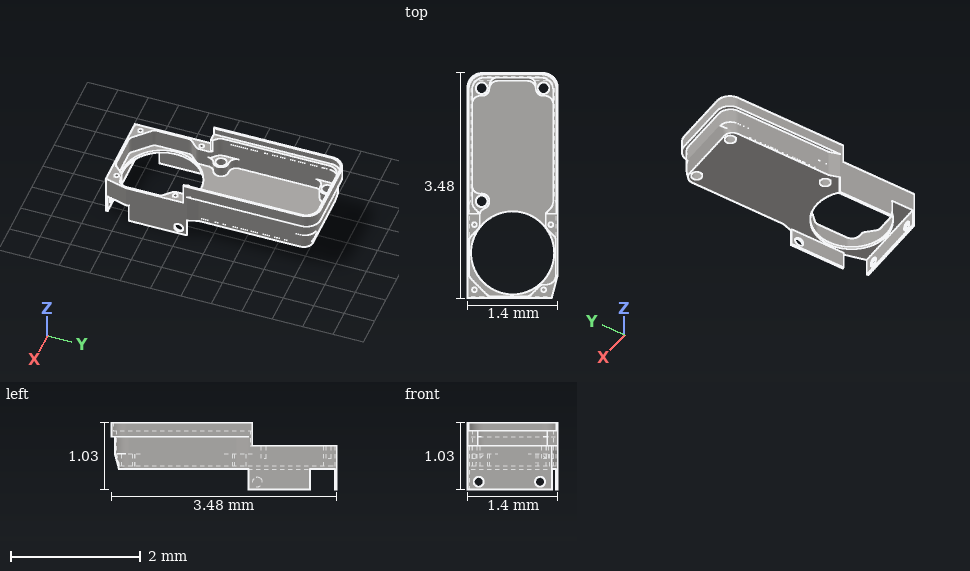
import cadquery as cq
import math

WIDTH = 1.40
LENGTH = 3.48
HEIGHT = 1.035

BASE_Z = 0.315
FLOOR_Z = BASE_Z + 0.05
BOSS_TOP_Z = 0.555
DECK_Z = 0.68
RIM_Z = BASE_Z + 0.50
SHELF_Z = HEIGHT - 0.125

DECK_BACK_Y = 1.305
HOUSING_BACK_Y = 1.365

RIM_RADIUS = 0.235
LIP_WALL = 0.025
LIP_RADIUS = 0.22
TRAY_INSET = 0.055
TRAY_RADIUS = 0.22
FLARE_START_Y = 1.54
FLARE_BLEND_RADIUS = 0.10
CAVITY_INSET = 0.075
CAVITY_RADIUS = 0.185
END_SLOPE = math.tan(math.radians(15))
OUTER_SLOPE_TOP_Z = 0.54
OUTER_SLOPE_RADIUS = 0.15

WALL = 0.03
CHAMFER_X = 0.095
CHAMFER_Y = 0.367
FAN_CENTRE_Y = 0.70
FAN_RADIUS = 0.64
NECK_HALF_WIDTH = 0.51
NECK_BACK_Y = 1.31
STEP_HALF_WIDTH = 0.538
NECK_FRONT_Y = 1.09
NECK_CORNER_RADIUS = 0.03
CAVITY_BLEND_RADIUS = 0.15
HOUSING_BLEND_RADIUS = 0.10
FRONT_LEFT_CUT = 0.297
POST_PAD_Y = 0.21
FRONT_RIGHT_X = 0.26

SKIRT_SLOT_END_Y = 0.41
SKIRT_HOLE_RADIUS = 0.075
SKIRT_HOLE_Z = 0.12
FRONT_HOLE_X = (-0.524, 0.424)
SIDE_HOLE_Y = 1.23

BOSS_X = 0.478
BOSS_REAR_Y = 3.243
BOSS_FRONT_Y = 1.497
BOSS_RADIUS = 0.12
BOSS_HOLE_RADIUS = 0.0875
BOSS_BLEND_RADIUS = 0.12
END_BLEND_RADIUS = 0.12
SCREW_RADIUS = 0.0375
SCREW_DEPTH = 0.20
SCREW_POINTS = [(-0.59, 1.136), (0.59, 1.136), (-0.59, 0.131), (0.48, 0.131)]

HALF_WIDTH = WIDTH / 2
TRAY_HALF = HALF_WIDTH - TRAY_INSET
TRAY_BACK_Y = LENGTH - TRAY_INSET
CAVITY_HALF = HALF_WIDTH - CAVITY_INSET
CAVITY_BACK_Y = LENGTH - CAVITY_INSET
HOUSING_HALF = HALF_WIDTH - WALL


def prism(points, bottom, top):
    """Vertical prism with the given plan outline."""
    return cq.Workplane("XY").workplane(offset=bottom).polyline(points).close().extrude(top - bottom)


def block(x_range, y_range, z_range):
    """Box given by its limits along each axis."""
    size = [high - low for low, high in (x_range, y_range, z_range)]
    corner = (x_range[0], y_range[0], z_range[0])
    return cq.Workplane("XY").box(*size, centered=False).translate(corner)


def cylinder(x, y, radius, bottom, top):
    """Vertical cylinder."""
    return cq.Workplane("XY").workplane(offset=bottom).center(x, y).circle(radius).extrude(top - bottom)


def fillet_corners(solid, corners, radius):
    """Round the vertical edges that stand at the given plan points."""
    tolerance = 0.002
    for x, y in corners:
        low = (x - tolerance, y - tolerance, 0)
        high = (x + tolerance, y + tolerance, HEIGHT)
        box = cq.selectors.BoxSelector(low, high)
        solid = solid.edges("|Z").edges(box).fillet(radius)
    return solid


def mirrored(x, y):
    """A plan point and its mirror image across the YZ plane."""
    return [(-x, y), (x, y)]


def end_wedge(wall_y, top_z, bottom_z):
    """Full-width wedge in front of wall_y, thickening downwards at the end slope."""
    run = (top_z - bottom_z) * END_SLOPE
    profile = [(wall_y, top_z), (wall_y - run, bottom_z), (wall_y, bottom_z)]
    return cq.Workplane("YZ").polyline(profile).close().extrude(HALF_WIDTH, both=True)


def make_rim():
    rim = block((-HALF_WIDTH, HALF_WIDTH), (DECK_BACK_Y, LENGTH), (RIM_Z, HEIGHT))
    return fillet_corners(rim, mirrored(HALF_WIDTH, LENGTH), RIM_RADIUS)


def make_sloped_envelope():
    """Block with a sloped rear end whose two corners are rounded along the slope."""
    bottom_y = TRAY_BACK_Y - (OUTER_SLOPE_TOP_Z - BASE_Z) * END_SLOPE
    top_y = TRAY_BACK_Y + (RIM_Z - OUTER_SLOPE_TOP_Z) * END_SLOPE
    profile = [(HOUSING_BACK_Y, BASE_Z), (bottom_y, BASE_Z), (top_y, RIM_Z), (HOUSING_BACK_Y, RIM_Z)]
    tail = cq.Workplane("YZ").polyline(profile).close().extrude(TRAY_HALF, both=True)
    slope_direction = cq.Vector(0, top_y - bottom_y, RIM_Z - BASE_Z)
    tail = tail.edges(cq.selectors.ParallelDirSelector(slope_direction)).fillet(OUTER_SLOPE_RADIUS)
    flare_end_y = FLARE_START_Y + FLARE_BLEND_RADIUS
    flare = block((-HALF_WIDTH, HALF_WIDTH), (HOUSING_BACK_Y, flare_end_y), (BASE_Z, RIM_Z))
    return tail.union(flare)


def make_tray():
    """Lower shell, flaring out to the full width where it meets the front housing."""
    outline = [
        (-HALF_WIDTH, HOUSING_BACK_Y),
        (HALF_WIDTH, HOUSING_BACK_Y),
        (TRAY_HALF, FLARE_START_Y),
        (TRAY_HALF, TRAY_BACK_Y),
        (-TRAY_HALF, TRAY_BACK_Y),
        (-TRAY_HALF, FLARE_START_Y),
    ]
    tray = prism(outline, BASE_Z, RIM_Z)
    tray = fillet_corners(tray, mirrored(TRAY_HALF, TRAY_BACK_Y), TRAY_RADIUS)
    tray = fillet_corners(tray, mirrored(TRAY_HALF, FLARE_START_Y), FLARE_BLEND_RADIUS)
    return tray.intersect(make_sloped_envelope())


def make_housing():
    """Front housing with its skirt and one corner cut off obliquely."""
    outline = [
        (-HALF_WIDTH, 0),
        (HALF_WIDTH - CHAMFER_X, 0),
        (HALF_WIDTH, CHAMFER_Y),
        (HALF_WIDTH, HOUSING_BACK_Y),
        (-HALF_WIDTH, HOUSING_BACK_Y),
    ]
    housing = prism(outline, 0, DECK_Z)
    step = block((-HALF_WIDTH, HALF_WIDTH), (DECK_BACK_Y, HOUSING_BACK_Y), (DECK_Z, RIM_Z))
    skirt_space = block((-HOUSING_HALF, HOUSING_HALF), (WALL, HOUSING_BACK_Y), (0, BASE_Z))
    skirt_slot = block((-HALF_WIDTH, HALF_WIDTH), (WALL, SKIRT_SLOT_END_Y), (0, BASE_Z))
    return housing.union(step).cut(skirt_space).cut(skirt_slot)


def make_lip_recess():
    half = HALF_WIDTH - LIP_WALL
    back_y = LENGTH - LIP_WALL
    recess = block((-half, half), (0, back_y), (SHELF_Z, HEIGHT))
    return fillet_corners(recess, mirrored(half, back_y), LIP_RADIUS)


def make_cavity():
    """Open interior of the tray, the neck and the front housing."""
    shoulder_y = NECK_BACK_Y + CAVITY_HALF - NECK_HALF_WIDTH
    cheek_y = NECK_FRONT_Y - (HOUSING_HALF - NECK_HALF_WIDTH)
    back = mirrored(CAVITY_HALF, CAVITY_BACK_Y)
    shoulder = mirrored(CAVITY_HALF, shoulder_y)
    neck_back = mirrored(NECK_HALF_WIDTH, NECK_BACK_Y)
    neck_front = mirrored(NECK_HALF_WIDTH, NECK_FRONT_Y)
    cheek = mirrored(HOUSING_HALF, cheek_y)
    post_side = (HOUSING_HALF, POST_PAD_Y)
    post_corner = (FRONT_RIGHT_X + POST_PAD_Y - WALL, POST_PAD_Y)
    front_right = (FRONT_RIGHT_X, WALL)
    front_left = (-HOUSING_HALF + FRONT_LEFT_CUT, WALL)
    left_side = (-HOUSING_HALF, WALL + FRONT_LEFT_CUT)

    right_chain = [pair[1] for pair in (back, shoulder, neck_back, neck_front, cheek)]
    left_chain = [pair[0] for pair in (cheek, neck_front, neck_back, shoulder, back)]
    front_chain = [post_side, post_corner, front_right, front_left, left_side]
    cavity = prism(right_chain + front_chain + left_chain, FLOOR_Z, HEIGHT)

    cavity = fillet_corners(cavity, back, CAVITY_RADIUS)
    cavity = fillet_corners(cavity, shoulder + [post_side], CAVITY_BLEND_RADIUS)
    cavity = fillet_corners(cavity, neck_back, NECK_CORNER_RADIUS)
    housing_corners = neck_front + cheek + [post_corner, front_right, front_left, left_side]
    return fillet_corners(cavity, housing_corners, HOUSING_BLEND_RADIUS)


def blend_centre(boss_y, wall_x, direction):
    """Centre of the concave blend touching a boss and the wall at wall_x, ahead of or behind the boss."""
    x = wall_x - BOSS_BLEND_RADIUS
    reach = BOSS_RADIUS + BOSS_BLEND_RADIUS
    return x, boss_y + direction * math.sqrt(reach ** 2 - (x - BOSS_X) ** 2)


def boss_body(side, boss_y, fill, blends):
    """Round boss joined to the wall by a filled outline, hollowed by its concave blends."""
    body = prism([(side * x, y) for x, y in fill], FLOOR_Z, BOSS_TOP_Z)
    for x, y in blends:
        body = body.cut(cylinder(side * x, y, BOSS_BLEND_RADIUS, FLOOR_Z, BOSS_TOP_Z))
    return body.union(cylinder(side * BOSS_X, boss_y, BOSS_RADIUS, FLOOR_Z, BOSS_TOP_Z))


def make_rear_boss(side):
    """Boss filling a rear corner of the tray."""
    blend = blend_centre(BOSS_REAR_Y, CAVITY_HALF, -1)
    inner_x = BOSS_X - BOSS_RADIUS
    fill = [
        (inner_x, BOSS_REAR_Y),
        (BOSS_X, BOSS_REAR_Y),
        blend,
        (HALF_WIDTH, blend[1]),
        (HALF_WIDTH, CAVITY_BACK_Y),
        (inner_x, CAVITY_BACK_Y),
    ]
    return boss_body(side, BOSS_REAR_Y, fill, [blend])


def make_front_boss():
    """Boss on the left wall, blended to the tray wall behind it and to the neck in front of it."""
    rear_blend = blend_centre(BOSS_FRONT_Y, CAVITY_HALF, 1)
    neck_blend = blend_centre(BOSS_FRONT_Y, NECK_HALF_WIDTH, -1)
    fill = [
        (BOSS_X, BOSS_FRONT_Y),
        rear_blend,
        (HALF_WIDTH, rear_blend[1]),
        (HALF_WIDTH, neck_blend[1]),
        neck_blend,
    ]
    return boss_body(-1, BOSS_FRONT_Y, fill, [rear_blend, neck_blend])


def make_floor_features():
    """Bosses and the sloped rear end that stand on the floor."""
    slope = end_wedge(CAVITY_BACK_Y, BOSS_TOP_Z, FLOOR_Z)
    features = slope.union(make_rear_boss(-1)).union(make_rear_boss(1))
    inner_x = BOSS_X - BOSS_RADIUS
    mid_y = CAVITY_BACK_Y - (BOSS_TOP_Z - FLOOR_Z) * END_SLOPE / 2
    mid_z = (BOSS_TOP_Z + FLOOR_Z) / 2
    for x in (-inner_x, inner_x):
        features = features.edges(cq.selectors.NearestToPointSelector((x, mid_y, mid_z)))
        features = features.fillet(END_BLEND_RADIUS)
    return features.union(make_front_boss())


def make_step_opening():
    """Wider opening between the two step blocks above the deck."""
    end_y = NECK_BACK_Y + STEP_HALF_WIDTH - NECK_HALF_WIDTH
    x_range = (-STEP_HALF_WIDTH, STEP_HALF_WIDTH)
    return block(x_range, (DECK_BACK_Y, end_y), (DECK_Z, HEIGHT))


def make_vertical_holes():
    """Fan opening, boss through holes and blind screw holes in the deck."""
    holes = cylinder(0, FAN_CENTRE_Y, FAN_RADIUS, BASE_Z, FLOOR_Z)
    boss_points = mirrored(BOSS_X, BOSS_REAR_Y) + [(-BOSS_X, BOSS_FRONT_Y)]
    for x, y in boss_points:
        holes = holes.union(cylinder(x, y, BOSS_HOLE_RADIUS, BASE_Z, BOSS_TOP_Z))
    for x, y in SCREW_POINTS:
        holes = holes.union(cylinder(x, y, SCREW_RADIUS, DECK_Z - SCREW_DEPTH, DECK_Z))
    return holes


def make_skirt_holes():
    """Two holes through the front skirt wall and one through the right skirt wall."""
    front = cq.Workplane("XZ").pushPoints([(x, SKIRT_HOLE_Z) for x in FRONT_HOLE_X])
    front = front.circle(SKIRT_HOLE_RADIUS).extrude(-WALL)
    side = cq.Workplane("YZ").workplane(offset=HOUSING_HALF).center(SIDE_HOLE_Y, SKIRT_HOLE_Z)
    return front.union(side.circle(SKIRT_HOLE_RADIUS).extrude(WALL))


shell = make_rim().union(make_tray()).union(make_housing())
interior = make_cavity().cut(make_floor_features())
shell = shell.cut(interior).cut(make_lip_recess()).cut(make_step_opening())
result = shell.cut(make_vertical_holes()).cut(make_skirt_holes())